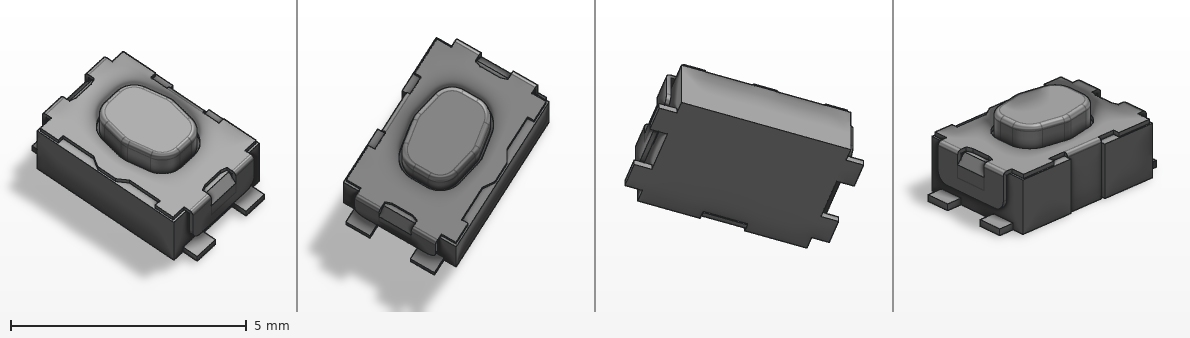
import cadquery as cq


housing_length = 3.81
housing_width = 2.8
housing_height = 1.3

sheet = 0.1
cover_length = 3.7
cover_width = 2.72
cover_top = housing_height + sheet
notch_floor_y = 1.2
rear_notch_length = 1.9
front_notch_length = 2.7
tongue_base_length = 1.0
tongue_tip_length = 0.5

wing_outer_x = 2.1
wing_width = 2.0
wing_bottom = 0.45
wing_corner_radius = 0.26
bend_radius = sheet

window_width = 0.8
window_bottom = 0.75
window_inner_width = 0.5
window_inner_x = 1.8
wedge_lip_z = 1.06

tab_length = 1.0
tab_bottom = -0.04

lead_tip_x = 2.3
lead_width = 0.6
lead_spacing = 1.6
lead_thickness = 0.16

button_length = 2.1
button_apex_width = 1.6
button_end_width = 1.2
button_top = 1.9
button_corner_radius = 0.5
button_top_fillet = 0.12
button_clearance = 0.06


def block(x_min, x_max, y_min, y_max, z_min, z_max):
    """Box given by its limits along each axis."""
    return cq.Workplane("XY").box(
        x_max - x_min, y_max - y_min, z_max - z_min, centered=False
    ).translate((x_min, y_min, z_min))


def both_ends(shape):
    """The shape at the +X end together with its mirror image at the -X end."""
    return shape.union(shape.mirror("YZ"))


def make_housing():
    body = block(
        -housing_length / 2, housing_length / 2,
        -housing_width / 2, housing_width / 2,
        0, housing_height,
    )
    slot = block(
        -tab_length / 2, tab_length / 2,
        notch_floor_y, housing_width / 2,
        0, housing_height,
    )
    return body.cut(slot)


def make_leads():
    leads = cq.Workplane("XY")
    for y_center in (-lead_spacing / 2, lead_spacing / 2):
        leads = leads.union(block(
            -lead_tip_x, lead_tip_x,
            y_center - lead_width / 2, y_center + lead_width / 2,
            0, lead_thickness,
        ))
    return leads


def make_cover_top():
    """Flat sheet with a notch along each long edge and a tongue in the front notch."""
    edge_y = cover_width / 2
    plate = block(-cover_length / 2, cover_length / 2, -edge_y, edge_y, housing_height, cover_top)
    rear_notch = block(
        -rear_notch_length / 2, rear_notch_length / 2,
        notch_floor_y, edge_y,
        housing_height, cover_top,
    )
    front_notch = block(
        -front_notch_length / 2, front_notch_length / 2,
        -edge_y, -notch_floor_y,
        housing_height, cover_top,
    )
    tongue = (
        cq.Workplane("XY", origin=(0, 0, housing_height))
        .moveTo(-tongue_base_length / 2, -notch_floor_y)
        .lineTo(-tongue_tip_length / 2, -edge_y)
        .lineTo(tongue_tip_length / 2, -edge_y)
        .lineTo(tongue_base_length / 2, -notch_floor_y)
        .close()
        .extrude(sheet)
    )
    return plate.cut(rear_notch).cut(front_notch).union(tongue)


def make_wing():
    """Wing at the +X end: a flange running outward, then a wall folded down."""
    half_width = wing_width / 2
    flange = block(
        cover_length / 2, wing_outer_x, -half_width, half_width, housing_height, cover_top
    )
    wall = block(
        wing_outer_x - sheet, wing_outer_x, -half_width, half_width, wing_bottom, cover_top
    ).edges("|X and <Z").fillet(wing_corner_radius)
    return flange.union(wall).edges("|Y and >X and >Z").fillet(bend_radius)


def make_window():
    """Opening at the +X end through the wing wall, its flange and the cover edge."""
    half_width = window_width / 2
    opening = block(
        wing_outer_x - sheet, wing_outer_x, -half_width, half_width, window_bottom, cover_top
    )
    relief = (
        cq.Workplane("XY", origin=(0, 0, housing_height))
        .moveTo(wing_outer_x, -half_width)
        .lineTo(cover_length / 2, -half_width)
        .lineTo(window_inner_x, -window_inner_width / 2)
        .lineTo(window_inner_x, window_inner_width / 2)
        .lineTo(cover_length / 2, half_width)
        .lineTo(wing_outer_x, half_width)
        .close()
        .extrude(sheet)
    )
    return opening.union(relief)


def make_wedge():
    """Snap wedge on the +X end of the housing, flush with the wing's outer face."""
    return (
        cq.Workplane("XZ")
        .moveTo(housing_length / 2, window_bottom)
        .lineTo(wing_outer_x, window_bottom)
        .lineTo(wing_outer_x, wedge_lip_z)
        .lineTo(housing_length / 2, housing_height)
        .close()
        .extrude(window_width / 2, both=True)
    )


def make_rear_tab():
    tab = block(
        -tab_length / 2, tab_length / 2,
        notch_floor_y, notch_floor_y + sheet,
        tab_bottom, cover_top,
    )
    bend_corner = block(
        -tab_length / 2, tab_length / 2,
        notch_floor_y, notch_floor_y + bend_radius,
        cover_top - bend_radius, cover_top,
    )
    bend = (
        cq.Workplane("YZ", origin=(-tab_length / 2, notch_floor_y, cover_top - bend_radius))
        .circle(bend_radius)
        .extrude(tab_length)
    )
    return tab.cut(bend_corner.cut(bend))


def button_outline():
    """Six-sided outline at housing-top level, pointed toward +Y and -Y."""
    end_x = button_length / 2
    end_y = button_end_width / 2
    apex_y = button_apex_width / 2
    return cq.Workplane("XY", origin=(0, 0, housing_height)).polyline([
        (end_x, -end_y),
        (end_x, end_y),
        (0, apex_y),
        (-end_x, end_y),
        (-end_x, -end_y),
        (0, -apex_y),
    ]).close()


def make_button():
    button = button_outline().extrude(button_top - housing_height)
    button = button.edges("|Z").fillet(button_corner_radius)
    return button.faces(">Z").edges().fillet(button_top_fillet)


def make_button_opening():
    """Opening in the cover top that follows the button outline with even clearance."""
    outline = button_outline().extrude(sheet).edges("|Z").fillet(button_corner_radius)
    rim = outline.faces("<Z").wires().val().offset2D(button_clearance)[0]
    return cq.Workplane(cq.Solid.extrudeLinear(rim, [], cq.Vector(0, 0, sheet)))


cover = make_cover_top().union(both_ends(make_wing())).union(make_rear_tab())
cover = cover.cut(both_ends(make_window())).cut(make_button_opening())

result = (
    make_housing()
    .union(make_leads())
    .union(cover)
    .union(make_button())
    .union(both_ends(make_wedge()), clean=False)
)